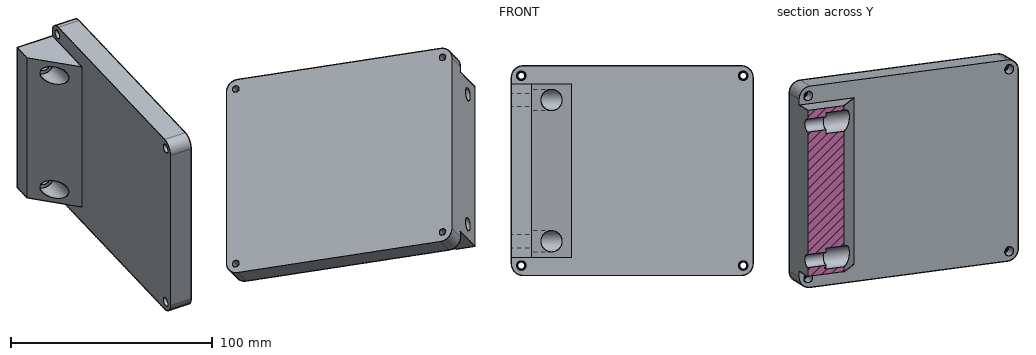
import cadquery as cq

PLATE_WIDTH = 119.97
PLATE_HEIGHT = 104.04
TOTAL_DEPTH = 31.8
BLOCK_DEPTH = 20.0
PLATE_THICKNESS = TOTAL_DEPTH - BLOCK_DEPTH
CORNER_RADIUS = 6.0

SCREW_INSET = 5.0
SCREW_DIAMETER = 3.4
WIDE_SCREW_DIAMETER = 3.5
SCREW_HEAD_DIAMETER = 4.7
SCREW_HEAD_DEPTH = 6.0

BLOCK_HEIGHT = 86.0
BLOCK_TIP_WIDTH = 10.0
BLOCK_BASE_WIDTH = BLOCK_TIP_WIDTH + BLOCK_DEPTH

BOLT_SPACING = 70.0
BOLT_DIAMETER = 6.5
BOLT_HEAD_DIAMETER = 10.5
BOLT_SEAT_OFFSET = BLOCK_TIP_WIDTH

LEFT_EDGE = -PLATE_WIDTH / 2
FRONT_FACE = -PLATE_THICKNESS
BOLT_AXIS_Y = FRONT_FACE - BLOCK_DEPTH / 2


def make_plate():
    return (
        cq.Workplane("XZ")
        .rect(PLATE_WIDTH, PLATE_HEIGHT)
        .extrude(PLATE_THICKNESS)
        .edges("|Y")
        .fillet(CORNER_RADIUS)
    )


def make_block():
    outline = [
        (LEFT_EDGE, FRONT_FACE),
        (LEFT_EDGE, -TOTAL_DEPTH),
        (LEFT_EDGE + BLOCK_TIP_WIDTH, -TOTAL_DEPTH),
        (LEFT_EDGE + BLOCK_BASE_WIDTH, FRONT_FACE),
    ]
    return (
        cq.Workplane("XY")
        .workplane(offset=-BLOCK_HEIGHT / 2)
        .polyline(outline)
        .close()
        .extrude(BLOCK_HEIGHT)
    )


def make_screw_cutter(x, z, shank_diameter):
    shank = (
        cq.Workplane("XZ")
        .center(x, z)
        .circle(shank_diameter / 2)
        .extrude(PLATE_THICKNESS)
    )
    head = (
        cq.Workplane("XZ")
        .workplane(offset=PLATE_THICKNESS - SCREW_HEAD_DEPTH)
        .center(x, z)
        .circle(SCREW_HEAD_DIAMETER / 2)
        .extrude(SCREW_HEAD_DEPTH)
    )
    return shank.union(head)


def cut_screw_holes(body):
    reach_x = PLATE_WIDTH / 2 - SCREW_INSET
    reach_z = PLATE_HEIGHT / 2 - SCREW_INSET
    for side_x in (-1, 1):
        for side_z in (-1, 1):
            is_wide = side_x > 0 and side_z < 0
            diameter = WIDE_SCREW_DIAMETER if is_wide else SCREW_DIAMETER
            body = body.cut(make_screw_cutter(side_x * reach_x, side_z * reach_z, diameter))
    return body


def make_bolt_cutters():
    seat = LEFT_EDGE + BOLT_SEAT_OFFSET
    centers = [(BOLT_AXIS_Y, side * BOLT_SPACING / 2) for side in (-1, 1)]
    shanks = (
        cq.Workplane("YZ", origin=(LEFT_EDGE, 0, 0))
        .pushPoints(centers)
        .circle(BOLT_DIAMETER / 2)
        .extrude(BLOCK_BASE_WIDTH)
    )
    heads = (
        cq.Workplane("YZ", origin=(seat, 0, 0))
        .pushPoints(centers)
        .circle(BOLT_HEAD_DIAMETER / 2)
        .extrude(BLOCK_BASE_WIDTH - BOLT_SEAT_OFFSET)
    )
    return shanks.union(heads)


body = make_plate().union(make_block())
result = cut_screw_holes(body).cut(make_bolt_cutters())